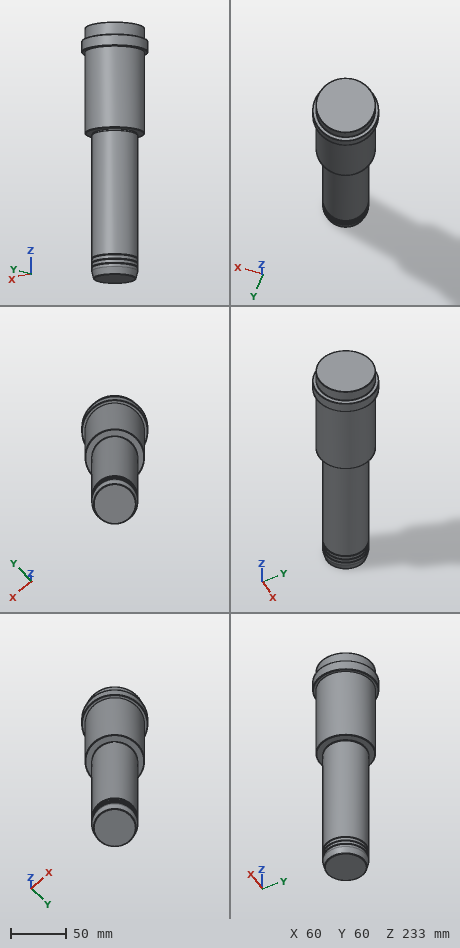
import cadquery as cq

total_height = 233.0

pin_radius = 21.0
body_radius = 27.0
flange_radius = 30.0
body_bottom = 135.0
flange_bottom = 210.5
flange_top = 221.0

edge_chamfer = 0.7
top_chamfer = 0.5
neck_height = 1.5
neck_depth = 0.7
relief_height = 1.0
relief_depth = 0.7

lead_in_height = 7.0
tip_radius = 19.3
tip_chamfer = 0.7

groove_width = 1.2
groove_depth = groove_width / 2
groove_centers = (10.3, 14.2, 18.5)


def cylinder(radius, bottom, top):
    return cq.Workplane("XY").workplane(offset=bottom).circle(radius).extrude(top - bottom)


def ring(outer_radius, depth, bottom, height):
    """Cutter that reduces a cylinder's radius by depth over a short height."""
    outer = cylinder(outer_radius + depth, bottom, bottom + height)
    return outer.cut(cylinder(outer_radius - depth, bottom, bottom + height))


def v_ring(center):
    """Diamond-section cutter whose inner half leaves a V groove in the pin."""
    return (
        cq.Workplane("XZ")
        .moveTo(pin_radius - groove_depth, center)
        .lineTo(pin_radius, center - groove_width / 2)
        .lineTo(pin_radius + groove_depth, center)
        .lineTo(pin_radius, center + groove_width / 2)
        .close()
        .revolve(360, (0, 0, 0), (0, 1, 0))
    )


def make_pin():
    """Pin with a conical lead-in, V grooves and a narrow neck under the body."""
    pin = (
        cq.Workplane("XZ")
        .lineTo(tip_radius - tip_chamfer, 0)
        .lineTo(tip_radius, tip_chamfer)
        .lineTo(pin_radius, lead_in_height)
        .lineTo(pin_radius, body_bottom)
        .lineTo(0, body_bottom)
        .close()
        .revolve(360, (0, 0, 0), (0, 1, 0))
    )
    for center in groove_centers:
        pin = pin.cut(v_ring(center))
    return pin.cut(ring(pin_radius, neck_depth, body_bottom - neck_height, neck_height))


def make_head():
    """Body with a flange and a shallow relief just above the flange."""
    body = cylinder(body_radius, body_bottom, total_height)
    body = body.faces("<Z").chamfer(edge_chamfer).faces(">Z").chamfer(top_chamfer)
    body = body.cut(ring(body_radius, relief_depth, flange_top, relief_height))
    flange = cylinder(flange_radius, flange_bottom, flange_top)
    flange = flange.faces("<Z").chamfer(edge_chamfer).faces(">Z").chamfer(top_chamfer)
    return body.union(flange)


result = make_pin().union(make_head())